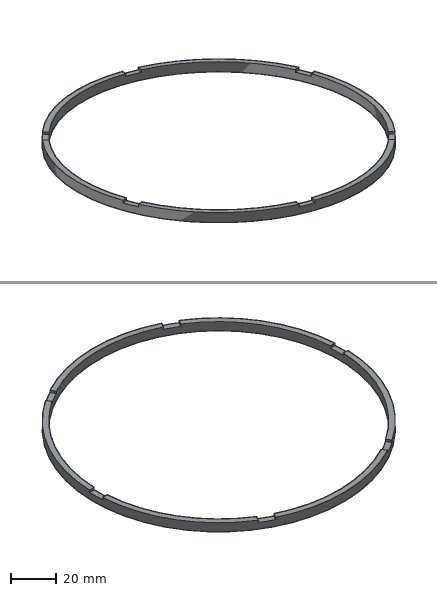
import cadquery as cq

outer_diameter = 156
inner_diameter = 150.0
ring_height = 5.0
notch_width = 8.0
notch_depth = 1.2
notch_count = 6
first_notch_angle = 90


def make_ring():
    """Plain flat-topped ring standing on Z = 0."""
    return (
        cq.Workplane("XY")
        .circle(outer_diameter / 2)
        .circle(inner_diameter / 2)
        .extrude(ring_height)
    )


def notch_cutter(angle):
    """Parallel-sided block that cuts the top edge of the ring at one angle."""
    return (
        cq.Workplane("XY")
        .workplane(offset=ring_height - notch_depth)
        .rect(outer_diameter, notch_width)
        .extrude(ring_height)
        .translate((outer_diameter / 2, 0, 0))
        .rotate((0, 0, 0), (0, 0, 1), angle)
    )


result = make_ring()
for index in range(notch_count):
    result = result.cut(notch_cutter(first_notch_angle + index * 360 / notch_count))